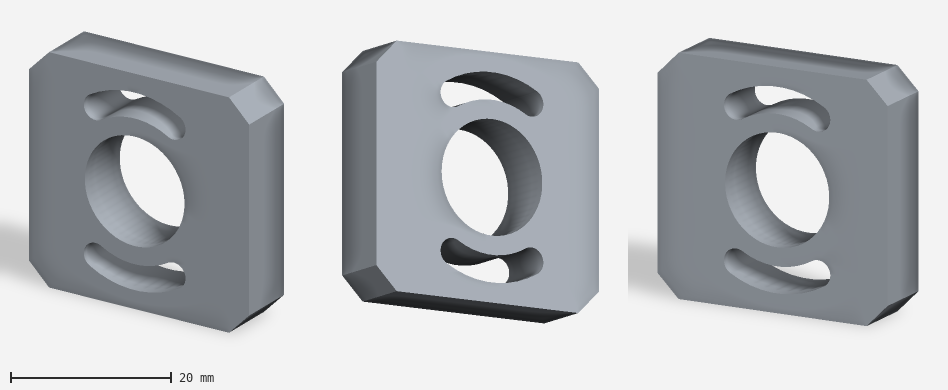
import cadquery as cq
import math

width = 32.7
thickness = 8.0
height = 31.8
corner_chamfer = 3.0
bore_to_left_side = 15.7

bore_diameter = 14.8
slot_mid_radius = 11.6
slot_width = 3.5
slot_half_angle = 30.0


def make_plate():
    plate_center_x = width / 2 - bore_to_left_side
    plate = cq.Workplane("XY").box(width, thickness, height).edges("|Y").chamfer(corner_chamfer)
    return plate.translate((plate_center_x, 0, 0))


def make_bore():
    return cq.Workplane("XZ").circle(bore_diameter / 2).extrude(thickness / 2, both=True)


def make_arc_slot(side):
    """Round-ended arc slot above (side = 1) or below (side = -1) the bore."""
    half_angle = math.radians(slot_half_angle)
    inner_radius = slot_mid_radius - slot_width / 2
    outer_radius = slot_mid_radius + slot_width / 2

    def point(radius, angle):
        return (radius * math.sin(angle), side * radius * math.cos(angle))

    def end_cap_tip(end):
        center_x, center_z = point(slot_mid_radius, end * half_angle)
        reach_x = end * slot_width / 2 * math.cos(half_angle)
        reach_z = -side * slot_width / 2 * math.sin(half_angle)
        return (center_x + reach_x, center_z + reach_z)

    return (
        cq.Workplane("XZ")
        .moveTo(*point(outer_radius, -half_angle))
        .threePointArc(point(outer_radius, 0), point(outer_radius, half_angle))
        .threePointArc(end_cap_tip(1), point(inner_radius, half_angle))
        .threePointArc(point(inner_radius, 0), point(inner_radius, -half_angle))
        .threePointArc(end_cap_tip(-1), point(outer_radius, -half_angle))
        .close()
        .extrude(thickness / 2, both=True)
    )


result = make_plate().cut(make_bore())
for slot_side in (1, -1):
    result = result.cut(make_arc_slot(slot_side))